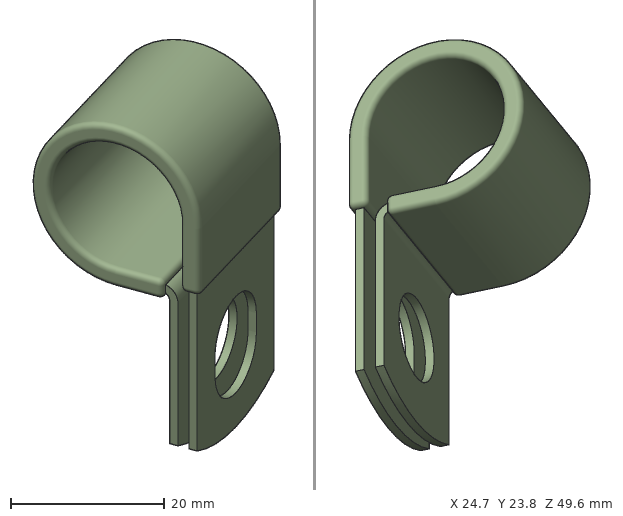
import cadquery as cq
import math


loop_bore_radius = 9.525
strap_thickness = 1.22
strap_width = 22.225
cushion_wall = 0.7935
shelf_end_x = 6.94
leg_end_z = -10.32
lug_gap = 1.588
bend_outer_radius = 2.38
lug_bottom_z = -37.29
lug_end_radius = 25.4
hole_diameter = 11.906
hole_to_lug_bottom = 12.7
slot_travel = 2.95
slot_angle = 90

cushion_thickness = strap_thickness + 2 * cushion_wall
cushion_outer_radius = loop_bore_radius + cushion_thickness
cushion_width = strap_width + 2 * cushion_wall
strap_inner_radius = loop_bore_radius + cushion_wall
strap_outer_radius = strap_inner_radius + strap_thickness
near_lug_outer_x = strap_inner_radius - lug_gap
near_lug_inner_x = near_lug_outer_x - strap_thickness
bend_inner_radius = bend_outer_radius - strap_thickness
bend_center_x = near_lug_outer_x - bend_outer_radius
bend_center_z = -strap_inner_radius - bend_outer_radius
lug_end_center_z = lug_bottom_z + lug_end_radius
hole_z = lug_bottom_z + hole_to_lug_bottom
diagonal = math.sqrt(0.5)


def extrude_centered(profile, width):
    """Extrude an XZ profile symmetrically about Y = 0."""
    return profile.extrude(width / 2, both=True)


def loop_arc(profile, radius, end):
    """Three-quarter arc about the loop axis, passing its upper left at 45 degrees."""
    return profile.threePointArc((-radius * diagonal, radius * diagonal), end)


def make_cushion():
    """C-shaped cushion with a leg on the right and a shelf below, every edge rounded."""
    profile = (
        cq.Workplane("XZ")
        .moveTo(loop_bore_radius, leg_end_z)
        .lineTo(cushion_outer_radius, leg_end_z)
        .lineTo(cushion_outer_radius, 0)
    )
    profile = loop_arc(profile, cushion_outer_radius, (0, -cushion_outer_radius))
    profile = (
        profile.lineTo(shelf_end_x, -cushion_outer_radius)
        .lineTo(shelf_end_x, -loop_bore_radius)
        .lineTo(0, -loop_bore_radius)
    )
    profile = loop_arc(profile, loop_bore_radius, (loop_bore_radius, 0)).close()
    body = extrude_centered(profile, cushion_width)
    return body.edges().fillet(cushion_wall)


def make_far_lug():
    """Straight strap lug hanging from the leg of the cushion."""
    profile = (
        cq.Workplane("XZ")
        .moveTo(strap_inner_radius, 0)
        .lineTo(strap_outer_radius, 0)
        .lineTo(strap_outer_radius, lug_bottom_z)
        .lineTo(strap_inner_radius, lug_bottom_z)
        .close()
    )
    return extrude_centered(profile, strap_width)


def make_near_lug():
    """Strap lug that leaves the shelf of the cushion and bends down."""
    bend_outer_mid = (
        bend_center_x + bend_outer_radius * diagonal,
        bend_center_z + bend_outer_radius * diagonal,
    )
    bend_inner_mid = (
        bend_center_x + bend_inner_radius * diagonal,
        bend_center_z + bend_inner_radius * diagonal,
    )
    profile = (
        cq.Workplane("XZ")
        .moveTo(0, -strap_inner_radius)
        .lineTo(bend_center_x, -strap_inner_radius)
        .threePointArc(bend_outer_mid, (near_lug_outer_x, bend_center_z))
        .lineTo(near_lug_outer_x, lug_bottom_z)
        .lineTo(near_lug_inner_x, lug_bottom_z)
        .lineTo(near_lug_inner_x, bend_center_z)
        .threePointArc(bend_inner_mid, (bend_center_x, -strap_outer_radius))
        .lineTo(0, -strap_outer_radius)
        .close()
    )
    return extrude_centered(profile, strap_width)


def make_lug_end_envelope():
    """Cylinder along X that rounds the lower ends of both lugs."""
    return (
        cq.Workplane("YZ")
        .center(0, lug_end_center_z)
        .circle(lug_end_radius)
        .extrude(cushion_outer_radius)
    )


def make_bolt_hole():
    """Round bolt hole along X, sized for the near lug."""
    return (
        cq.Workplane("YZ")
        .center(0, hole_z)
        .circle(hole_diameter / 2)
        .extrude(cushion_outer_radius)
    )


def make_bolt_slot():
    """Upright bolt slot along X, sized for the far lug and centered on the bolt hole."""
    return (
        cq.Workplane("YZ")
        .center(0, hole_z)
        .slot2D(hole_diameter + slot_travel, hole_diameter, slot_angle)
        .extrude(cushion_outer_radius)
    )


near_lug = make_near_lug().cut(make_bolt_hole())
far_lug = make_far_lug().cut(make_bolt_slot())
lugs = near_lug.union(far_lug).intersect(make_lug_end_envelope())
result = make_cushion().union(lugs)